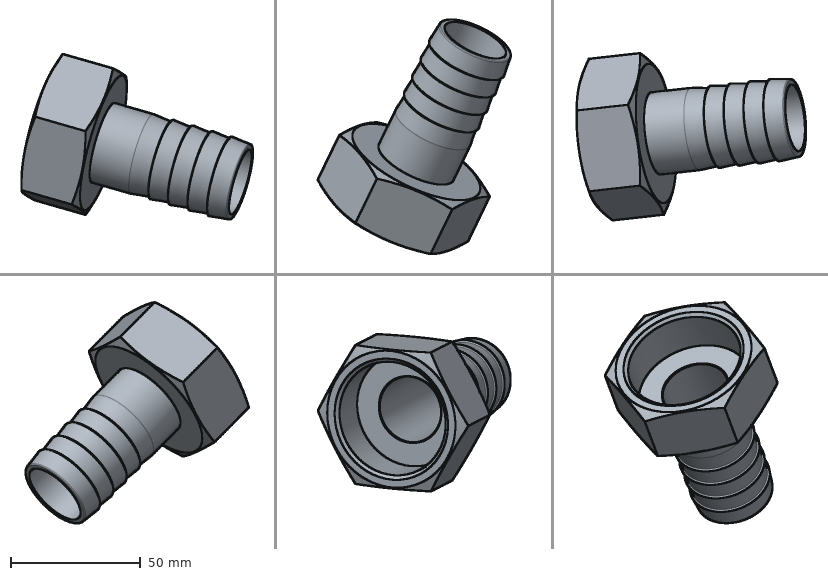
import cadquery as cq
import math

TOTAL_LENGTH = 80.0

NUT_LENGTH = 24.0
ACROSS_FLATS = 55.0
CHAMFER_CIRCLE_DIAMETER = 54.1
CHAMFER_ANGLE = 20.0
THREAD_HOLE_DIAMETER = 44.8
MOUTH_DIAMETER = 47.8
MOUTH_DEPTH = 1.2

SEAT_DEPTH = 18.0
COLLAR_THICKNESS = 3.2
TAIL_DIAMETER = 32.0
BORE_DIAMETER = 25.9
BORE_CHAMFER = 0.2
BARB_COUNT = 5
BARB_PITCH = 8.0
BARB_DROP = 0.9
BARB_FILLET = 0.5

RADIUS_TOLERANCE = 0.01
CORNER_CLEARANCE = 0.8

ACROSS_CORNERS = ACROSS_FLATS / math.cos(math.pi / 6)
COLLAR_END = SEAT_DEPTH + COLLAR_THICKNESS
BARBS_START = TOTAL_LENGTH - BARB_COUNT * BARB_PITCH


def revolve_about_x(points):
    """Revolve a closed outline of (x, radius) points about the X axis."""
    return cq.Workplane("XY").polyline(points).close().revolve(360, (0, 0, 0), (1, 0, 0))


def make_nut():
    """Hexagon nut with a smooth thread hole and a narrower back wall around the tail."""
    hexagon = cq.Workplane("YZ").polygon(6, ACROSS_CORNERS).extrude(NUT_LENGTH)

    end_radius = CHAMFER_CIRCLE_DIAMETER / 2
    corner_radius = ACROSS_CORNERS / 2 + CORNER_CLEARANCE
    cone_length = (corner_radius - end_radius) * math.tan(math.radians(CHAMFER_ANGLE))
    corner_limit = revolve_about_x([
        (0, 0),
        (0, end_radius),
        (cone_length, corner_radius),
        (NUT_LENGTH - cone_length, corner_radius),
        (NUT_LENGTH, end_radius),
        (NUT_LENGTH, 0),
    ])

    stepped_hole = revolve_about_x([
        (0, 0),
        (0, MOUTH_DIAMETER / 2),
        (MOUTH_DEPTH, THREAD_HOLE_DIAMETER / 2),
        (COLLAR_END, THREAD_HOLE_DIAMETER / 2),
        (COLLAR_END, TAIL_DIAMETER / 2),
        (NUT_LENGTH, TAIL_DIAMETER / 2),
        (NUT_LENGTH, 0),
    ])
    return hexagon.intersect(corner_limit).cut(stepped_hole)


def make_hose_tail():
    """Barbed hose tail held in the nut by a collar."""
    tail_radius = TAIL_DIAMETER / 2
    root_radius = tail_radius - BARB_DROP
    bore_radius = BORE_DIAMETER / 2

    outline = [
        (SEAT_DEPTH + BORE_CHAMFER, bore_radius),
        (SEAT_DEPTH, bore_radius + BORE_CHAMFER),
        (SEAT_DEPTH, THREAD_HOLE_DIAMETER / 2),
        (COLLAR_END, THREAD_HOLE_DIAMETER / 2),
        (COLLAR_END, tail_radius),
    ]
    for barb in range(BARB_COUNT):
        crest = BARBS_START + barb * BARB_PITCH
        outline.append((crest, tail_radius))
        outline.append((crest + BARB_PITCH, root_radius))
    outline.append((TOTAL_LENGTH, bore_radius))
    tail = revolve_about_x(outline)

    root_circles = tail.edges("%CIRCLE").filter(
        lambda circle: math.isclose(circle.radius(), root_radius, abs_tol=RADIUS_TOLERANCE)
    )
    return root_circles.fillet(BARB_FILLET)


nut = make_nut()
hose_tail = make_hose_tail()

result = cq.Compound.makeCompound([nut.val(), hose_tail.val()])